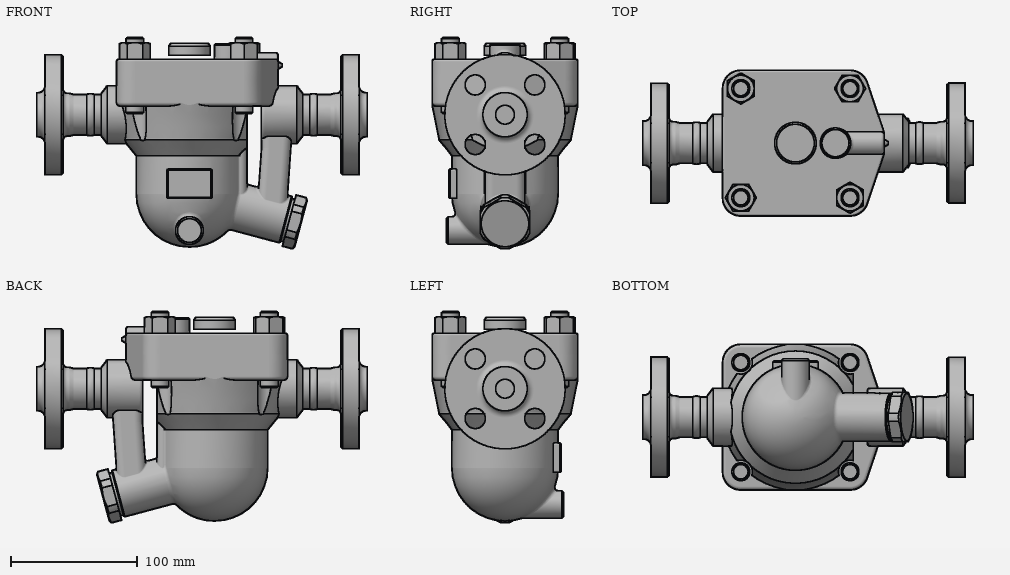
import cadquery as cq
import math


touching = 0.03

bevel_angle = 30.0

pipe_centre_x = 10.0
half_length = 130.5
pipe_dia = 32.0
hub_dia = 34.0
raised_face_dia = 35.0
raised_face_fillet = 5.2
raised_face_height = 6.5
flange_dia = 95.0
flange_thickness = 14.4
flange_edge_chamfer = 1.5
hub_fillet = 3.5
hub_length = 5.2
hub_taper_length = 3.1
weld_outer = 91.0
weld_inner = 84.8
weld_height = 0.65
cone_outer = 79.5
cone_inner = 75.0
cone_end_dia = 33.5
socket_dia = 46.0
socket_inner_x = 56.6
socket_end_fillet = 2.5
flange_hole_dia = 16.0
flange_hole_offset = 23.5
bore_dia = 15.0
bore_depth = 5.2

bolt_offset = 43.0
plate_width = 115.0
corner_radius = plate_width / 2 - bolt_offset
tip_x = 70.0
tip_half_width = 8.5
plate_bottom = 6.8
joint_z = 27.1
cover_top = 43.8
cover_edge_fillet = 1.8
plate_edge_fillet = 3.0

bowl_radius = 42.0
shoulder_top_radius = 58.0
shoulder_radius = 52.2
shoulder_z = -18.8
shoulder_band_height = 1.0
shoulder_bottom_z = -32.4
dome_z = -62.5
flat_x = 45.5
rib_half_width = 16.2
rib_corner_radius = 5.2
rib_bottom_z = dome_z - 5.2
bolt_relief_radius = 9.1

leg_angle = 15.0
leg_dia = 38.0
leg_length = 79.0
leg_edge_chamfer = 0.8
leg_fillet = 3.5
plug_neck_dia = 35.0
plug_start = 81.5
plug_end = 91.0
plug_across_flats = 39.2
plug_corner_dia = 42.0
plug_bevel = 1.3
plug_turn = 30.0
riser_width = 23.2
riser_depth = 31.3
riser_corner_radius = 6.5
riser_tilt = 4.0
riser_bend_x = 68.5
riser_bend_z = -26.5
riser_fillet = 1.5
rib_fillet = 1.5

drain_dia = 22.0
drain_z = -91.4
drain_end_y = -46.2
drain_chamfer = 1.5
drain_fillet = 2.5
label_width = 35.8
label_bottom_z = -66.0
label_top_z = -42.8
label_y = -44.5
label_corner_radius = 1.5
label_chamfer = 1.0

vent_x = 31.5
vent_dia = 24.0
vent_top = 56.0
vent_chamfer = 1.3
vent_arm_radius = 10.2
vent_arm_z = 39.0
vent_arm_fillet = 2.3
vent_joint_fillet = 2.5
vent_tip_base_dia = 6.3
vent_tip_end_dia = 2.0
vent_tip_length = 3.5

stud_dia = 14.0
stud_bottom = 0.8
stud_top = 61.0
stud_chamfer = 1.3
nut_across_flats = 21.1
nut_corner_dia = 24.5
nut_top = 57.0
nut_bevel = 1.0

cap_dia = 33.0
cap_bottom = 46.7
cap_top = 56.5
cap_chamfer_width = 1.5
cap_chamfer_height = 2.3


def z_cylinder(radius, bottom, top, x=0, y=0):
    return cq.Workplane("XY", origin=(x, y, bottom)).circle(radius).extrude(top - bottom)


def hexagon(plane, across_flats, corner_dia, height, bevel, turn):
    """Hexagonal prism trimmed by a cylinder of corner_dia that has a conical bevel at its far end."""
    sharp_dia = across_flats / math.cos(math.radians(30))
    prism = cq.Workplane(plane).polygon(6, sharp_dia).extrude(height)
    prism = prism.rotate(plane.origin, plane.origin + plane.zDir, turn)
    end = cq.Workplane(plane).circle(corner_dia / 2).extrude(height)
    end_plane = cq.selectors.DirectionMinMaxSelector(plane.zDir)
    bevel_width = bevel / math.tan(math.radians(bevel_angle))
    return prism.intersect(end.faces(end_plane).edges().chamfer(bevel, bevel_width))


def join_rounded(first, second, radius, low=None, high=None):
    """Union of two shapes with a fillet where their surfaces meet.

    With low and high given, only the edges centred in the box between these corners are rounded.
    """
    joined = first.union(second)
    skins = [cq.Compound.makeCompound(shape.faces().vals()) for shape in (first, second)]
    region = cq.selectors.BoxSelector(low, high) if low else None
    seam = []
    for edge in joined.edges(region).vals():
        middle = cq.Vertex.makeVertex(*edge.positionAt(0.5).toTuple())
        if all(middle.distance(skin) < touching for skin in skins):
            seam.append(edge)
    return joined.newObject(seam).fillet(radius)


def plate(bottom, top):
    """Square plate with round corners and a tapered outlet side."""
    dx = tip_x - bolt_offset
    dy = bolt_offset - tip_half_width
    normal = math.acos(corner_radius / math.hypot(dx, dy)) - math.atan2(dy, dx)
    tangent_x = bolt_offset + corner_radius * math.cos(normal)
    tangent_y = bolt_offset + corner_radius * math.sin(normal)
    arc_mid = (normal + math.pi / 2) / 2
    mid_x = bolt_offset + corner_radius * math.cos(arc_mid)
    mid_y = bolt_offset + corner_radius * math.sin(arc_mid)
    side = plate_width / 2
    left_mid = bolt_offset + corner_radius * math.sin(math.pi / 4)
    outline = (
        cq.Workplane("XY", origin=(0, 0, bottom))
        .moveTo(-bolt_offset, side)
        .lineTo(bolt_offset, side)
        .threePointArc((mid_x, mid_y), (tangent_x, tangent_y))
        .lineTo(tip_x, tip_half_width)
        .lineTo(tip_x, -tip_half_width)
        .lineTo(tangent_x, -tangent_y)
        .threePointArc((mid_x, -mid_y), (bolt_offset, -side))
        .lineTo(-bolt_offset, -side)
        .threePointArc((-left_mid, -left_mid), (-side, -bolt_offset))
        .lineTo(-side, bolt_offset)
        .threePointArc((-left_mid, left_mid), (-bolt_offset, side))
        .close()
    )
    return outline.extrude(top - bottom)


def pipe_arm(inner_end):
    """Outlet-side pipe with its flange, from inner_end to the end face, along +X from the pipe middle."""
    face = half_length - raised_face_height
    back = face - flange_thickness
    hub_r = hub_dia / 2
    raised_r = raised_face_dia / 2
    flange_r = flange_dia / 2
    taper_outer = back - hub_length
    taper_inner = taper_outer - hub_taper_length
    weld_middle = (weld_outer + weld_inner) / 2
    bend = 1 - math.sin(math.pi / 4)
    profile = (
        cq.Workplane("XY")
        .moveTo(inner_end, 0)
        .lineTo(inner_end, socket_dia / 2)
        .lineTo(cone_inner, socket_dia / 2)
        .lineTo(cone_outer, cone_end_dia / 2)
        .lineTo(cone_outer, pipe_dia / 2)
        .lineTo(weld_inner, pipe_dia / 2)
        .threePointArc((weld_middle, pipe_dia / 2 + weld_height), (weld_outer, pipe_dia / 2))
        .lineTo(taper_inner, pipe_dia / 2)
        .lineTo(taper_outer, hub_r)
        .lineTo(back - hub_fillet, hub_r)
        .threePointArc((back - hub_fillet * bend, hub_r + hub_fillet * bend), (back, hub_r + hub_fillet))
        .lineTo(back, flange_r - flange_edge_chamfer)
        .lineTo(back + flange_edge_chamfer, flange_r)
        .lineTo(face, flange_r)
        .lineTo(face, raised_r + raised_face_fillet)
        .threePointArc(
            (face + raised_face_fillet * bend, raised_r + raised_face_fillet * bend),
            (face + raised_face_fillet, raised_r),
        )
        .lineTo(half_length, raised_r)
        .lineTo(half_length, 0)
        .close()
    )
    arm = profile.revolve(360, (0, 0, 0), (1, 0, 0))
    holes = (
        cq.Workplane("YZ", origin=(back, 0, 0))
        .rect(2 * flange_hole_offset, 2 * flange_hole_offset, forConstruction=True)
        .vertices()
        .circle(flange_hole_dia / 2)
        .extrude(flange_thickness)
    )
    bore = cq.Workplane("YZ", origin=(half_length, 0, 0)).circle(bore_dia / 2).extrude(-bore_depth)
    return arm.cut(holes).cut(bore)


def inlet_pipe():
    arm = pipe_arm(pipe_centre_x)
    return arm.rotate((0, 0, 0), (0, 0, 1), 180).translate((pipe_centre_x, 0, 0))


def outlet_pipe():
    arm = pipe_arm(socket_inner_x - pipe_centre_x).translate((pipe_centre_x, 0, 0))
    return arm.faces("<X").edges().fillet(socket_end_fillet)


def shoulder():
    """Conical upper bowl, kept inside the plate outline, flat on the outlet side, with bolt reliefs."""
    top = plate_bottom + plate_edge_fillet
    cone = (
        cq.Workplane("XZ")
        .moveTo(0, top)
        .lineTo(shoulder_top_radius, top)
        .lineTo(shoulder_radius, shoulder_z)
        .lineTo(shoulder_radius, shoulder_z - shoulder_band_height)
        .lineTo(bowl_radius, shoulder_bottom_z)
        .lineTo(0, shoulder_bottom_z)
        .close()
        .revolve(360, (0, 0, 0), (0, 1, 0))
    )
    reach = 2 * shoulder_top_radius
    keep = cq.Workplane("XY").box(reach, reach, reach).translate((flat_x - reach / 2, 0, 0))
    cone = cone.intersect(keep)
    for x in (-bolt_offset, bolt_offset):
        for y in (-bolt_offset, bolt_offset):
            cone = cone.cut(z_cylinder(bolt_relief_radius, shoulder_bottom_z, plate_bottom, x, y))
    return cone


def bowl():
    """Cylindrical bowl closed by a hemispherical dome."""
    cylinder = z_cylinder(bowl_radius, dome_z, shoulder_bottom_z)
    dome = cq.Workplane("XY", origin=(0, 0, dome_z)).sphere(bowl_radius)
    return cylinder.union(dome)


def rib():
    """Upright rib on the outlet side, from the strainer leg to the body flange."""
    block = (
        cq.Workplane("XY", origin=(flat_x / 2, 0, rib_bottom_z))
        .rect(flat_x, 2 * rib_half_width)
        .extrude(plate_bottom - rib_bottom_z)
    )
    return block.edges("|Z and >X").fillet(rib_corner_radius)


def leg_plane(distance):
    """Plane across the leg axis, at a distance from the dome centre."""
    tilt = math.radians(leg_angle)
    direction = cq.Vector(math.cos(tilt), 0, -math.sin(tilt))
    centre = cq.Vector(0, 0, dome_z) + direction * distance
    return cq.Plane(origin=centre, xDir=(0, 1, 0), normal=direction)


def strainer_leg():
    leg = cq.Workplane(leg_plane(0)).circle(leg_dia / 2).extrude(leg_length)
    return leg.faces(">X").edges().chamfer(leg_edge_chamfer)


def strainer_plug():
    neck = cq.Workplane(leg_plane(leg_length)).circle(plug_neck_dia / 2).extrude(plug_start - leg_length)
    height = plug_end - plug_start
    seat = leg_plane(plug_start)
    head = hexagon(seat, plug_across_flats, plug_corner_dia, height, plug_bevel, plug_turn)
    return neck.union(head)


def riser():
    """Rounded rectangular column from the strainer leg up to the outlet socket."""
    bend = (riser_bend_x, 0, riser_bend_z)

    def column(height):
        block = cq.Workplane("XY", origin=bend).rect(riser_width, riser_depth).extrude(height)
        return block.edges("|Z").fillet(riser_corner_radius)

    lower_length = riser_bend_z - dome_z + leg_dia / 2
    tilted = column(-lower_length).union(column(-riser_bend_z))
    tilted = tilted.rotate(bend, (bend[0], 1, bend[2]), riser_tilt)
    return tilted, column(-riser_bend_z)


def drain_boss():
    boss = cq.Workplane("XZ", origin=(0, 0, drain_z)).circle(drain_dia / 2).extrude(-drain_end_y)
    return boss.faces("<Y").edges().chamfer(drain_chamfer)


def name_plate():
    block = (
        cq.Workplane("XZ", origin=(0, 0, (label_bottom_z + label_top_z) / 2))
        .rect(label_width, label_top_z - label_bottom_z)
        .extrude(-label_y)
    )
    return block.edges("|Y").fillet(label_corner_radius).faces("<Y").edges().chamfer(label_chamfer)


def vent():
    boss = z_cylinder(vent_dia / 2, plate_bottom, vent_top, vent_x)
    arm = (
        cq.Workplane("YZ", origin=(vent_x, 0, vent_arm_z))
        .circle(vent_arm_radius)
        .extrude(tip_x - vent_x)
        .faces(">X")
        .edges()
        .fillet(vent_arm_fillet)
    )
    tip = (
        cq.Workplane("YZ", origin=(tip_x - vent_arm_fillet, 0, vent_arm_z))
        .circle(vent_tip_base_dia / 2)
        .extrude(vent_arm_fillet)
        .faces(">X")
        .workplane()
        .circle(vent_tip_base_dia / 2)
        .workplane(offset=vent_tip_length)
        .circle(vent_tip_end_dia / 2)
        .loft()
    )
    boss = boss.faces(">Z").edges().chamfer(vent_chamfer)
    return join_rounded(boss, arm, vent_joint_fillet).union(tip)


def stud_and_nut(x, y, turn):
    stud = z_cylinder(stud_dia / 2, stud_bottom, stud_top, x, y)
    stud = stud.faces("<Z or >Z").edges().chamfer(stud_chamfer)
    seat = cq.Plane(origin=(x, y, cover_top))
    nut = hexagon(seat, nut_across_flats, nut_corner_dia, nut_top - cover_top, nut_bevel, turn)
    return stud.union(nut)


def lower_body():
    body = join_rounded(bowl(), drain_boss(), drain_fillet)
    body = join_rounded(body, strainer_leg(), leg_fillet)
    rib_low = (flat_x - rib_corner_radius, -rib_half_width, rib_bottom_z)
    rib_high = (flat_x + rib_fillet, rib_half_width, dome_z + leg_dia / 2)
    body = join_rounded(body, rib(), rib_fillet, rib_low, rib_high)
    body = body.union(shoulder().intersect(plate(shoulder_bottom_z, joint_z)))
    tilted, upright = riser()
    body = join_rounded(body, tilted, riser_fillet)
    body = body.union(upright)
    flange = plate(plate_bottom, joint_z).faces("<Z").edges().fillet(plate_edge_fillet)
    body = body.union(flange).union(name_plate()).union(strainer_plug()).union(inlet_pipe())
    return body.union(outlet_pipe())


def cover():
    lid = plate(joint_z, cover_top).faces(">Z").edges().fillet(cover_edge_fillet)
    lid = lid.union(vent())
    nut_turn = 30
    for x in (-bolt_offset, bolt_offset):
        for y in (-bolt_offset, bolt_offset):
            turn = 0 if x * y > 0 else nut_turn
            lid = lid.union(stud_and_nut(x, y, turn))
    return lid


def floating_cap():
    disc = z_cylinder(cap_dia / 2, cap_bottom, cap_top)
    return disc.faces(">Z").edges().chamfer(cap_chamfer_height, cap_chamfer_width)


trap = lower_body().union(cover(), clean=False)
cap = floating_cap()

result = cq.Compound.makeCompound([trap.val(), cap.val()])